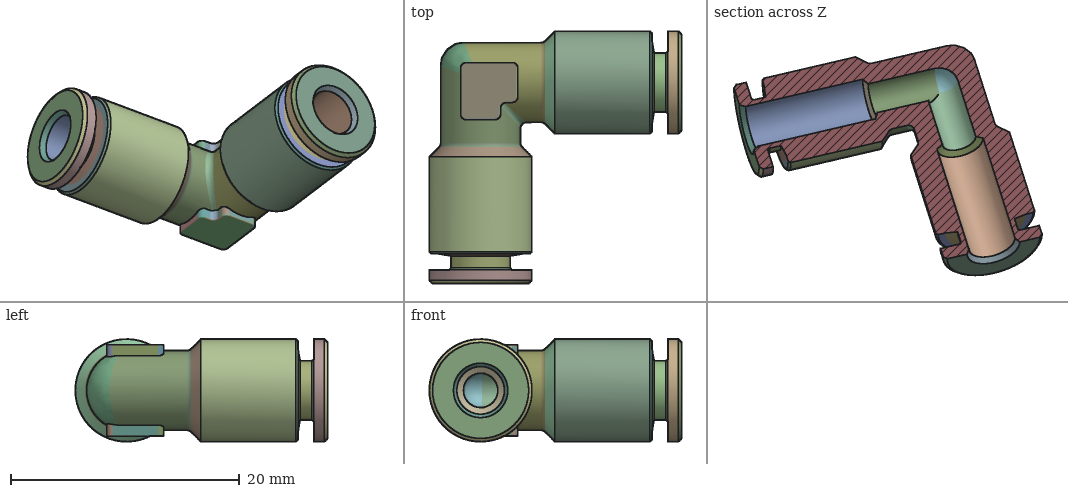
import cadquery as cq
import math


neck_radius = 3.5
elbow_round = 2.0
mitre_fade = 1.6
crotch_round = 0.5

shoulder_start = 6.5
body_end = 15.0
collar_start = 16.38
arm_length = 17.6

body_radius = 4.5
body_chamfer = 0.2
shoulder_angle = math.radians(45)
shoulder_fillet = 0.5

mouth_radius = 3.65
mouth_height = 0.18
sleeve_radius = 2.6
sleeve_flare = 0.12
flare_length = 0.17
collar_chamfer = 0.3

tube_radius = 2.08
tube_chamfer_width = 0.3
tube_chamfer_depth = 0.5
tube_stop = shoulder_start
stop_cone_angle = math.radians(30)
passage_radius = 1.5
bend_offset = 0.13

pad_min = -1.75
pad_max = 3.25
pad_notch = 1.75
pad_corner_radius = 0.5
pad_height = 4.0
pad_root = 2.2
pad_edge_round = 0.1


def along_y(shape):
    """Turn a shape of the +X arm onto the -Y arm."""
    return shape.rotate((0, 0, 0), (1, -1, 0), 180)


def revolve_about_x(profile):
    return profile.close().revolve(360, (0, 0, 0), (1, 0, 0))


def make_elbow():
    """Two necks cut on the mitre plane, with both mitre edges rounded."""
    start = -2 * neck_radius
    blank = cq.Workplane("YZ", origin=(start, 0, 0)).circle(neck_radius).extrude(shoulder_start - start)
    wedge = (
        cq.Workplane("XY", origin=(0, 0, -body_radius))
        .polyline([(start, -start), (arm_length, -start), (arm_length, -arm_length)])
        .close()
        .extrude(2 * body_radius)
    )
    neck = blank.intersect(wedge)
    elbow = neck.union(along_y(neck))
    slab_size = 4 * arm_length
    middle_slab = cq.Workplane("XY").box(2 * mitre_fade, slab_size, slab_size).rotate((0, 0, 0), (0, 0, 1), -45)
    outer_corner = (-neck_radius, neck_radius, 0)
    inner_corner = (neck_radius, -neck_radius, 0)
    sides = elbow.cut(middle_slab)
    crotch = sides.solids("<(-1, 1, 0)")
    crown = sides.solids(">(-1, 1, 0)")
    rounded_crotch = crotch.edges(cq.selectors.NearestToPointSelector(inner_corner)).fillet(crotch_round)
    rounded_crown = crown.edges(cq.selectors.NearestToPointSelector(outer_corner)).fillet(elbow_round)
    return elbow.union(rounded_crotch.cut(crotch)).cut(crown.cut(rounded_crown))


def make_arm():
    """Shoulder, body and release collar of the +X arm."""
    shoulder_foot = shoulder_start - (body_radius - neck_radius)
    fillet_setback = shoulder_fillet * math.tan(shoulder_angle / 2)
    fillet_start = shoulder_foot - fillet_setback
    diagonal = math.cos(shoulder_angle)
    fillet_end = (shoulder_foot + fillet_setback * diagonal, neck_radius + fillet_setback * diagonal)
    fillet_middle = (
        fillet_start + shoulder_fillet * math.sin(shoulder_angle / 2),
        neck_radius + shoulder_fillet * (1 - math.cos(shoulder_angle / 2)),
    )
    profile = (
        cq.Workplane("XY")
        .moveTo(fillet_start, 0)
        .lineTo(fillet_start, neck_radius)
        .threePointArc(fillet_middle, fillet_end)
        .lineTo(shoulder_start, body_radius)
        .lineTo(body_end - body_chamfer, body_radius)
        .lineTo(body_end, body_radius - body_chamfer)
        .lineTo(body_end, mouth_radius)
        .lineTo(body_end + mouth_height, sleeve_radius)
        .lineTo(collar_start - flare_length, sleeve_radius)
        .lineTo(collar_start, sleeve_radius + sleeve_flare)
        .lineTo(collar_start, body_radius)
        .lineTo(arm_length - collar_chamfer, body_radius)
        .lineTo(arm_length, body_radius - collar_chamfer)
        .lineTo(arm_length, 0)
    )
    return revolve_about_x(profile)


def make_bore():
    """Chamfered tube socket with a conical floor, and the passage leading to the elbow."""
    floor_depth = (tube_radius - passage_radius) * math.tan(stop_cone_angle)
    profile = (
        cq.Workplane("XY")
        .moveTo(bend_offset, 0)
        .lineTo(bend_offset, passage_radius)
        .lineTo(tube_stop - floor_depth, passage_radius)
        .lineTo(tube_stop, tube_radius)
        .lineTo(arm_length - tube_chamfer_depth, tube_radius)
        .lineTo(arm_length, tube_radius + tube_chamfer_width)
        .lineTo(arm_length, 0)
    )
    return revolve_about_x(profile)


def make_passage_bend():
    """Rounded outside of the turn that joins the two passages."""
    rim_height = math.sqrt(passage_radius**2 - bend_offset**2)
    section = (
        cq.Workplane("YZ", origin=(bend_offset, -bend_offset, 0))
        .moveTo(0, -rim_height)
        .threePointArc((passage_radius + bend_offset, 0), (0, rim_height))
        .close()
    )
    return section.revolve(90, (0, 0, 0), (0, 1, 0))


def make_pad():
    """L-shaped wrench pad on the +Z side."""
    outline = [
        (pad_min, -pad_min),
        (pad_max, -pad_min),
        (pad_max, -pad_notch),
        (pad_notch, -pad_notch),
        (pad_notch, -pad_max),
        (pad_min, -pad_max),
    ]
    pad = cq.Workplane("XY", origin=(0, 0, pad_root)).polyline(outline).close().extrude(pad_height - pad_root)
    return pad.edges("|Z").fillet(pad_corner_radius).faces(">Z").edges().fillet(pad_edge_round)


arm = make_arm()
bore = make_bore()
pad = make_pad()

result = make_elbow().union(arm).union(along_y(arm))
result = result.union(pad).union(pad.mirror("XY"))
result = result.cut(bore).cut(along_y(bore)).cut(make_passage_bend())